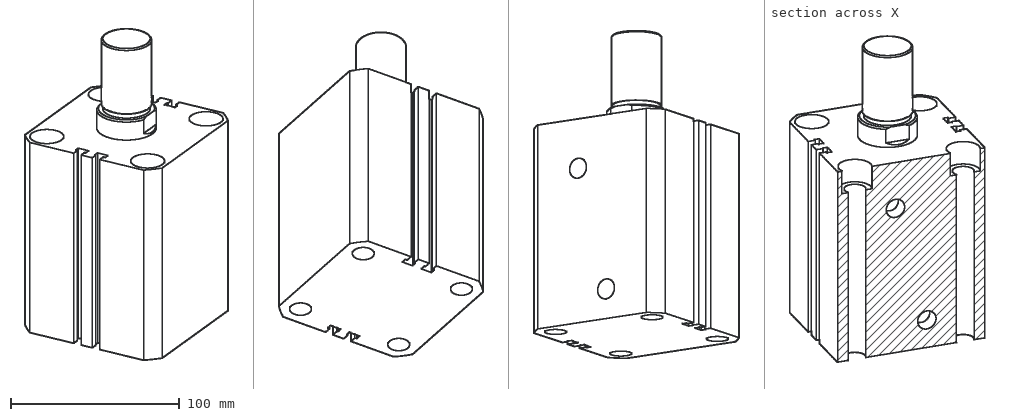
import cadquery as cq


total_height = 182.0

housing_height = 124.0
housing_width = 94.0
corner_radius = 61.0

mounting_pitch = 69.0
mounting_hole_diameter = 13.0
counterbore_diameter = 20.0
counterbore_depth = 14.5

slot_mouth_inner = 3.8
slot_mouth_outer = 9.0
slot_base_inner = 3.1
slot_base_outer = 10.2
slot_lip_depth = 4.4
slot_depth = 7.5

port_mouth_diameter = 12.0
port_taper = 1 / 16
port_depth = 18.2
port_offset = 10.0
lower_port_height = 18.0
upper_port_drop = 30.0

collar_diameter = 35.3
collar_height = 12.7
collar_chamfer = 1.0
flats_width = 32.0
flats_base_height = 3.0
neck_diameter = 28.4
neck_height = 3.0
thread_diameter = 29.8
thread_chamfer = 1.0

housing_half = housing_width / 2
collar_radius = collar_diameter / 2
rod_length = total_height - housing_height


def make_slot(side, face):
    """T-shaped slot cutter on the +X or -X side (side) of the +Y or -Y face (face)."""
    face_y = face * housing_half
    lip_y = face * (housing_half - slot_lip_depth)
    base_y = face * (housing_half - slot_depth)
    outline = [
        (side * slot_mouth_inner, face_y),
        (side * slot_mouth_inner, lip_y),
        (side * slot_base_inner, lip_y),
        (side * slot_base_inner, base_y),
        (side * slot_base_outer, base_y),
        (side * slot_base_outer, lip_y),
        (side * slot_mouth_outer, lip_y),
        (side * slot_mouth_outer, face_y),
    ]
    return cq.Workplane("XY").polyline(outline).close().extrude(housing_height)


def make_port(y, z):
    """Blind tapered port cutter, narrowing from the -X face inward."""
    mouth_radius = port_mouth_diameter / 2
    floor_radius = (port_mouth_diameter - port_taper * port_depth) / 2
    mouth_centre = cq.Vector(-housing_half, y, z)
    inward = cq.Vector(1, 0, 0)
    return cq.Solid.makeCone(mouth_radius, floor_radius, port_depth, mouth_centre, inward)


def make_housing():
    block = cq.Workplane("XY").rect(housing_width, housing_width).extrude(housing_height)
    corner_cylinder = cq.Workplane("XY").circle(corner_radius).extrude(housing_height)
    body = block.intersect(corner_cylinder)

    body = (
        body.faces(">Z").workplane(origin=(0, 0, housing_height))
        .rect(mounting_pitch, mounting_pitch, forConstruction=True)
        .vertices()
        .cboreHole(mounting_hole_diameter, counterbore_diameter, counterbore_depth)
    )

    for side in (-1, 1):
        for face in (-1, 1):
            body = body.cut(make_slot(side, face))

    body = body.cut(make_port(port_offset, housing_height - upper_port_drop))
    body = body.cut(make_port(-port_offset, lower_port_height))
    return body


def make_rod():
    """Collar with wrench flats, undercut neck and thread envelope, turned about the Z axis."""
    neck_radius = neck_diameter / 2
    thread_radius = thread_diameter / 2
    thread_start = collar_height + neck_height
    profile = [
        (0, 0),
        (collar_radius, 0),
        (collar_radius, collar_height - collar_chamfer),
        (collar_radius - collar_chamfer, collar_height),
        (neck_radius, collar_height),
        (neck_radius, thread_start),
        (thread_radius, thread_start),
        (thread_radius, rod_length - thread_chamfer),
        (thread_radius - thread_chamfer, rod_length),
        (0, rod_length),
    ]
    rod = cq.Workplane("XZ").polyline(profile).close().revolve(360, (0, 0), (0, 1))

    flat_x = flats_width / 2
    flat_depth = collar_radius - flat_x
    flat_outline = [
        (flat_x, flats_base_height),
        (flat_x, collar_height),
        (collar_radius, collar_height),
        (collar_radius, flats_base_height - flat_depth),
    ]
    flat_cutter = (
        cq.Workplane("XZ").polyline(flat_outline).close().extrude(collar_radius, both=True)
    )
    rod = rod.cut(flat_cutter).cut(flat_cutter.mirror("YZ"))
    return rod.translate((0, 0, housing_height))


housing = make_housing()
piston_rod = make_rod()

result = cq.Compound.makeCompound([housing.val(), piston_rod.val()])